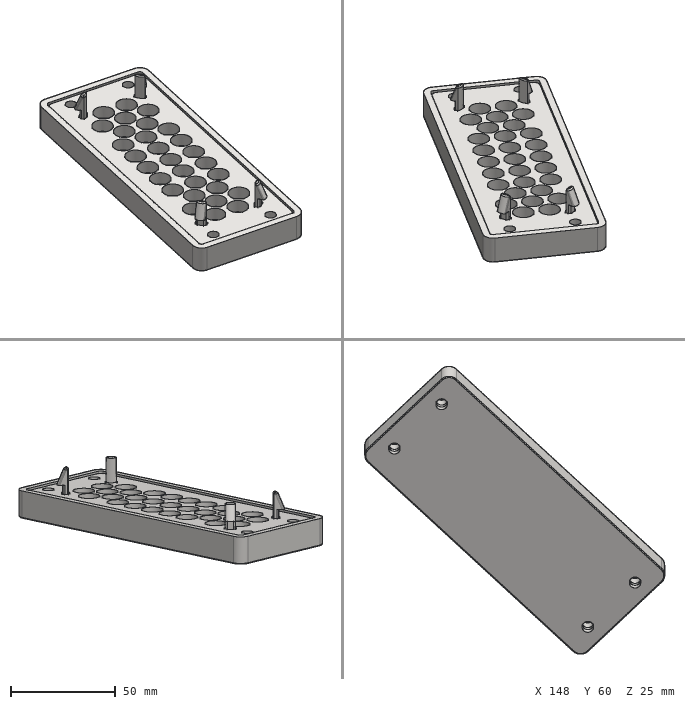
import cadquery as cq
import math

tray_length = 148.0
tray_width = 60.0
tray_height = 13.5
corner_radius = 5.0
bottom_chamfer = 0.5
wall = 3.5
floor_thickness = wall
cavity_length = tray_length - 2 * wall
cavity_width = tray_width - 2 * wall
cavity_radius = corner_radius - wall

insert_gap = 0.2
insert_length = cavity_length - 2 * insert_gap
insert_width = cavity_width - 2 * insert_gap
insert_radius = 3.0
plate_recess = 1.0
plate_thickness = 6.5
plate_top = tray_height - plate_recess
plate_bottom = plate_top - plate_thickness
base_thickness = plate_bottom - floor_thickness

pocket_diameter = 10.3
row_pitch = 12.8
column_pitch = 11.3
staggered_pitch = 9.4
outer_column_x = 2 * column_pitch
full_column = (-row_pitch, 0.0, row_pitch)
staggered_column = (-row_pitch / 2, row_pitch / 2)
pocket_columns = (
    (0.0, full_column),
    (column_pitch, full_column),
    (outer_column_x, full_column),
    (outer_column_x + staggered_pitch, staggered_column),
    (outer_column_x + 2 * staggered_pitch, full_column),
    (outer_column_x + 3 * staggered_pitch, staggered_column),
)

screw_hole_diameter = 5.5
screw_x = 65.0
screw_y = 16.0

pin_x = 53.2
pin_y = 15.3
pin_top = 25.0
pin_width = 4.9
pin_half = pin_width / 2
pin_back_bulge = 0.6
pin_top_chamfer = 0.6
pin_clearance = 0.5
stem_depth = 2.25
stem_chamfer = 1.0
barb_bottom = 16.8
barb_height = pin_top - barb_bottom
barb_reach_bottom = 5.1
barb_reach_top = 1.65
barb_bulge = 0.85
barb_edge_fillet = 0.6
barb_front_radius = (pin_half**2 + barb_bulge**2) / (2 * barb_bulge)
barb_lean = math.degrees(math.atan((barb_reach_bottom - barb_reach_top) / barb_height))

corner_signs = [(sx, sy) for sx in (-1, 1) for sy in (-1, 1)]
screw_points = [(sx * screw_x, sy * screw_y) for sx, sy in corner_signs]


def plane_at(z):
    return cq.Workplane("XY", origin=(0, 0, z))


def rounded_block(length, width, height, radius, bottom_z):
    """A block centred on the Z axis, with rounded vertical edges."""
    block = plane_at(bottom_z).rect(length, width).extrude(height)
    return block.edges("|Z").fillet(radius)


def round_holes(points, diameter):
    """Cylinders that reach through the whole height of the tray."""
    return plane_at(0).pushPoints(points).circle(diameter / 2).extrude(tray_height)


def screw_holes():
    return round_holes(screw_points, screw_hole_diameter)


def to_corner(shape, sx, sy):
    """Turn a local pin shape to face outward in the corner with signs (sx, sy)."""
    angle = math.degrees(math.atan2(sy, sx))
    return shape.rotate((0, 0, 0), (0, 0, 1), angle).translate((sx * pin_x, sy * pin_y, 0))


def stem_outline(z):
    """Stem section: chamfered front, flat sides and a bulged back."""
    return (
        plane_at(z)
        .moveTo(0, pin_half)
        .lineTo(stem_depth - stem_chamfer, pin_half)
        .lineTo(stem_depth, pin_half - stem_chamfer)
        .lineTo(stem_depth, stem_chamfer - pin_half)
        .lineTo(stem_depth - stem_chamfer, -pin_half)
        .lineTo(0, -pin_half)
        .threePointArc((-pin_back_bulge, 0), (0, pin_half))
        .close()
    )


def latch_barb():
    """Upright block whose front is trimmed round by a rod leaning back to the pin top."""
    block = (
        plane_at(barb_bottom)
        .moveTo(0, pin_half)
        .lineTo(barb_reach_bottom, pin_half)
        .lineTo(barb_reach_bottom, -pin_half)
        .lineTo(0, -pin_half)
        .threePointArc((-pin_back_bulge, 0), (0, pin_half))
        .close()
        .extrude(barb_height)
    )
    rod = plane_at(0).center(-barb_front_radius, 0).circle(barb_front_radius)
    rod = rod.extrude(2 * barb_height, both=True)
    rod = rod.rotate((0, 0, 0), (0, 1, 0), -barb_lean)
    rod = rod.translate((barb_reach_bottom, 0, barb_bottom))
    barb = block.intersect(rod)

    middle_z = barb_bottom + barb_height / 2
    front_edges = cq.selectors.BoxSelector(
        (barb_reach_top / 2, -pin_width, middle_z - barb_height / 4),
        (barb_reach_bottom, pin_width, middle_z + barb_height / 4),
    )
    barb = barb.edges(front_edges).fillet(barb_edge_fillet)
    return barb.faces(">Z").edges().chamfer(pin_top_chamfer)


def latch_pin():
    """A stem starting inside the latch base, with its barb on top."""
    stem_bottom = plate_bottom - base_thickness / 2
    stem = stem_outline(stem_bottom).extrude(barb_bottom - stem_bottom)
    return stem.union(latch_barb())


def make_tray():
    tray = rounded_block(tray_length, tray_width, tray_height, corner_radius, 0)
    tray = tray.faces("<Z").edges().chamfer(bottom_chamfer)
    cavity_depth = tray_height - floor_thickness
    cavity = rounded_block(cavity_length, cavity_width, cavity_depth, cavity_radius, floor_thickness)
    return tray.cut(cavity).cut(screw_holes())


def make_latch_base():
    base = rounded_block(insert_length, insert_width, base_thickness, insert_radius, floor_thickness)
    base = base.cut(screw_holes())
    pin = latch_pin()
    for sx, sy in corner_signs:
        base = base.union(to_corner(pin, sx, sy))
    return base


def make_plate():
    plate = rounded_block(insert_length, insert_width, plate_thickness, insert_radius, plate_bottom)
    pocket_points = set()
    for x, rows in pocket_columns:
        for y in rows:
            pocket_points.update([(x, y), (-x, y)])
    plate = plate.cut(round_holes(sorted(pocket_points), pocket_diameter))
    plate = plate.cut(screw_holes())

    pin_hole = stem_outline(plate_bottom).offset2D(pin_clearance, "intersection").extrude(plate_thickness)
    for sx, sy in corner_signs:
        plate = plate.cut(to_corner(pin_hole, sx, sy))
    return plate


tray = make_tray()
latch_base = make_latch_base()
plate = make_plate()
result = cq.Compound.makeCompound([tray.val(), latch_base.val(), plate.val()])